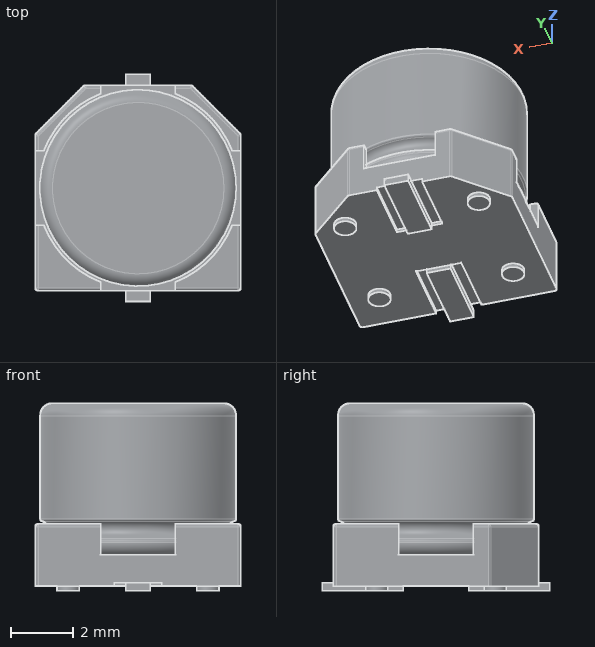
import cadquery as cq
import math


can_radius = 3.15
can_top = 6.02
can_top_round = 0.4
can_bottom_round = 0.4
groove_radius = 0.28
groove_lip_round = 0.08
groove_z = 1.955

base_width = 6.6
base_bottom = 0.15
base_top = 2.15
corner_cut = 1.58
edge_round = 0.1
seat_z = 1.15
seat_radius = 3.25
window_width = 2.4

terminal_span = 7.3
terminal_width = 0.8
terminal_top = 0.26
terminal_gap = 2.1
recess_width = 1.52

foot_radius = 0.36
foot_x = 2.24
foot_y = 1.9


def make_base():
    """Square block with two cut corners, a round seat and a window in each side."""
    block = (
        cq.Workplane("XY")
        .workplane(offset=base_bottom)
        .rect(base_width, base_width)
        .extrude(base_top - base_bottom)
    )
    block = block.edges("|Z and >Y").chamfer(corner_cut)
    block = block.edges("|Z").fillet(edge_round)
    block = block.faces(">Z").edges().fillet(edge_round)

    seat_depth = base_top - seat_z
    seat_plane = cq.Workplane("XY").workplane(offset=seat_z)
    seat = seat_plane.circle(seat_radius).extrude(seat_depth)
    window_x = seat_plane.rect(base_width, window_width).extrude(seat_depth)
    window_y = seat_plane.rect(window_width, base_width).extrude(seat_depth)
    return block.cut(seat).cut(window_x).cut(window_y)


def make_can():
    """Revolved can with rounded ends and a rounded-lip groove near the bottom."""
    center_distance = groove_radius + groove_lip_round
    lip_offset = math.sqrt(center_distance**2 - groove_lip_round**2)

    touch_share = groove_radius / center_distance
    touch_r = can_radius - touch_share * groove_lip_round
    touch_offset = touch_share * lip_offset
    neck_r = can_radius - groove_radius

    lower_touch = (touch_r, groove_z - touch_offset)
    upper_touch = (touch_r, groove_z + touch_offset)

    profile = (
        cq.Workplane("XZ")
        .moveTo(0, seat_z)
        .lineTo(can_radius - can_bottom_round, seat_z)
        .tangentArcPoint((can_radius, seat_z + can_bottom_round), relative=False)
        .lineTo(can_radius, groove_z - lip_offset)
        .tangentArcPoint(lower_touch, relative=False)
        .tangentArcPoint((neck_r, groove_z), relative=False)
        .tangentArcPoint(upper_touch, relative=False)
        .tangentArcPoint((can_radius, groove_z + lip_offset), relative=False)
        .lineTo(can_radius, can_top - can_top_round)
        .tangentArcPoint((can_radius - can_top_round, can_top), relative=False)
        .lineTo(0, can_top)
        .close()
    )
    return profile.revolve(360, (0, 0, 0), (0, 1, 0))


def make_lead_bars(width, span, bottom, top):
    """Two bars along Y, one on each side of the terminal gap."""
    length = (span - terminal_gap) / 2
    center_y = (span + terminal_gap) / 4
    return (
        cq.Workplane("XY")
        .workplane(offset=bottom)
        .pushPoints([(0, -center_y), (0, center_y)])
        .rect(width, length)
        .extrude(top - bottom)
    )


def make_feet():
    """Four round feet under the base."""
    return (
        cq.Workplane("XY")
        .rect(2 * foot_x, 2 * foot_y, forConstruction=True)
        .vertices()
        .circle(foot_radius)
        .extrude(base_bottom)
    )


recesses = make_lead_bars(recess_width, base_width, base_bottom, terminal_top)
terminals = make_lead_bars(terminal_width, terminal_span, 0, terminal_top)

result = make_base().cut(recesses).union(make_can()).union(terminals).union(make_feet())